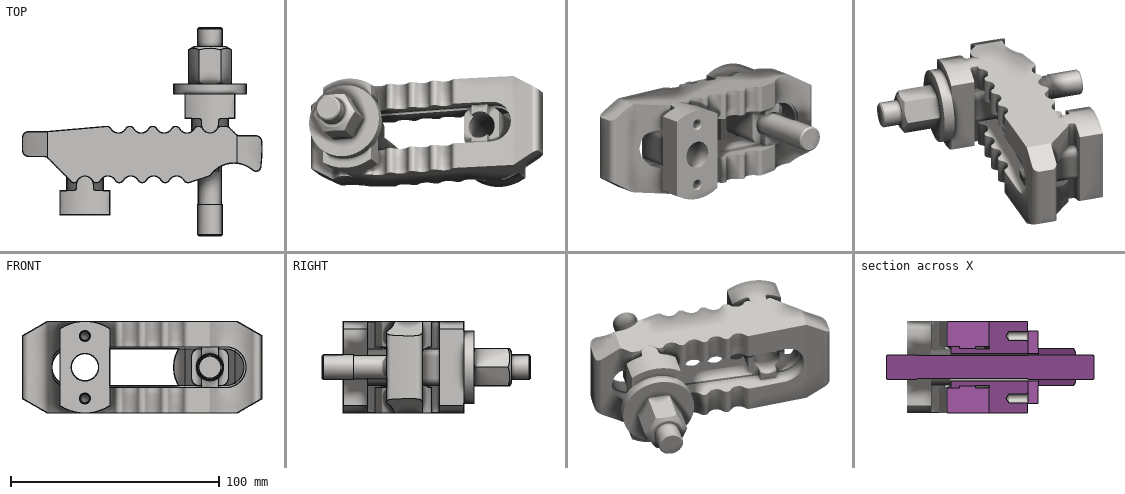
import cadquery as cq
import math


TOOTH_PITCH = 11.0
GROOVE_RADIUS = 4.0
GROOVE_DEPTH = 3.2
GROOVES_PER_SIDE = 5
CREST_RADIUS = 2.2
ARC_RADII_SUM = GROOVE_RADIUS + CREST_RADIUS
ARC_CENTRE_RISE = ARC_RADII_SUM - GROOVE_DEPTH
ARC_CENTRE_DISTANCE = math.hypot(TOOTH_PITCH / 2, ARC_CENTRE_RISE)
FLANK_ANGLE = math.degrees(
    math.atan2(TOOTH_PITCH / 2, ARC_CENTRE_RISE) - math.acos(ARC_RADII_SUM / ARC_CENTRE_DISTANCE)
)

ARM_HEIGHT = 44.0
ARM_LEFT = -90.0
ARM_RIGHT = 25.0
ARM_TOP = 8.5
ARM_BOTTOM = -18.6
ARM_MIDDLE = (ARM_TOP + ARM_BOTTOM) / 2

STUD_X = 0.0
LOWER_SUPPORT_X = -60.0
TOP_LAST_GROOVE = STUD_X
TOP_FIRST_GROOVE = TOP_LAST_GROOVE - (GROOVES_PER_SIDE - 1) * TOOTH_PITCH
BOTTOM_FIRST_GROOVE = LOWER_SUPPORT_X
BOTTOM_LAST_GROOVE = BOTTOM_FIRST_GROOVE + (GROOVES_PER_SIDE - 1) * TOOTH_PITCH

NOSE_THICKNESS = 12.0
NOSE_FILLET = 3.0
END_CHAMFER_LENGTH = 12.0
END_CHAMFER_ANGLE = 30.0
BACK_SLOPE_ANGLE = 5.0
RAMP_ANGLE = 45.0
RAMP_FOOT_X = -65.9
RAMP_FOOT_FILLET = 0.9

SHOULDER_CORNER_X = 8.6
SHOULDER_FILLET = 2.3
HEEL_TOP = 4.0
HEEL_ROOT_FILLET = 3.0
HEEL_TOP_FILLET = 3.0
HEEL_TIP_FILLET = 2.3
HEEL_FACE_RADIUS = 65.0
HEEL_FACE_MIDDLE = -2.5
HEEL_TIP_SHARP_Y = -15.0

HOLLOW_RADIUS = 14.0
HOLLOW_X = 11.5
HOLLOW_TOP = -9.2
HOLLOW_START_X = 0.0
HOLLOW_START_FILLET = 1.5
UNDERSIDE_SLOPE_ANGLE = 18.0

SLOT_CENTRE_TRAVEL = 74.5
SLOT_MIDDLE_X = -29.75
SLOT_WIDTH = 17.6
WIDE_SLOT_WIDTH = 19.6
RIDGE_THICKNESS = 8.0

PLATE_DIAMETER = ARM_HEIGHT
PLATE_WIDTH = 24.0
PLATE_THICKNESS = 11.6
TONGUE_LENGTH = GROOVE_RADIUS + 3.0
TONGUE_FILLET = 1.5
BOSS_SIZE = SLOT_WIDTH
BOSS_FILLET = 3.5
BOSS_LENGTH = TONGUE_LENGTH + (ARM_TOP - GROOVE_DEPTH) - (ARM_MIDDLE - RIDGE_THICKNESS / 2)
LUG_WIDTH = 8.0
LUG_LENGTH = 4.0
SUPPORT_BORE = 13.0
TAP_DRILL = 4.2
TAP_COUNTERSINK = 5.2
TAP_DEPTH = 9.0
TAP_OFFSET = 15.0
DRILL_POINT_ANGLE = 118.0

STUD_DIAMETER = 12.0
STUD_SHANK_DIAMETER = 11.3
STUD_LENGTH = 100.0
STUD_CHAMFER = 0.7
LOWER_THREAD_LENGTH = 15.0
STUD_PROTRUSION = 9.0
NUT_ACROSS_FLATS = 18.0
NUT_HEIGHT = 18.0
NUT_CHAMFER_ANGLE = 30.0
NUT_TOP_RADIUS = 7.4
NUT_SEAT_RADIUS = 9.6
WASHER_DIAMETER = 35.0
WASHER_THICKNESS = 5.0
WASHER_BORE = 13.0

UPPER_SEAT_Y = ARM_TOP - GROOVE_DEPTH
LOWER_SEAT_Y = ARM_BOTTOM + GROOVE_DEPTH
SUPPORT_HEIGHT = TONGUE_LENGTH + PLATE_THICKNESS
WASHER_Y = UPPER_SEAT_Y + SUPPORT_HEIGHT
NUT_Y = WASHER_Y + WASHER_THICKNESS
STUD_TOP_Y = NUT_Y + NUT_HEIGHT + STUD_PROTRUSION


def y_plane(y, x=0.0):
    """Plane facing +Y at the given place; its local x is X and its local y is -Z."""
    return cq.Plane(origin=(x, y, 0), xDir=(1, 0, 0), normal=(0, 1, 0))


def cylinder(diameter, y_from, y_to):
    return cq.Workplane(y_plane(y_from)).circle(diameter / 2).extrude(y_to - y_from)


def crest_point(crest_x, crest_y, outward, angle):
    """Point on a crest arc, at an angle from its summit that is positive toward +X."""
    turn = math.radians(angle)
    x = crest_x + CREST_RADIUS * math.sin(turn)
    y = crest_y - outward * CREST_RADIUS * (1 - math.cos(turn))
    return x, y


def groove_point(groove_x, crest_y, outward, angle):
    """Point on a groove arc, at an angle from its bottom that is positive toward +X."""
    turn = math.radians(angle)
    x = groove_x + GROOVE_RADIUS * math.sin(turn)
    y = crest_y - outward * (GROOVE_DEPTH - GROOVE_RADIUS * (1 - math.cos(turn)))
    return x, y


def add_teeth(path, first_groove, crest_y, outward, heading, start_angle):
    """Run the grooves and crests along one side, up to the summit of the crest after the last groove.

    The path stands on the crest before the first groove, at start_angle from its summit.
    """
    flank = heading * FLANK_ANGLE
    crest_x = first_groove - heading * TOOTH_PITCH / 2
    crest_start = start_angle
    for tooth in range(GROOVES_PER_SIDE):
        groove_x = first_groove + tooth * heading * TOOTH_PITCH
        crest_middle = crest_point(crest_x, crest_y, outward, (crest_start + flank) / 2)
        path = path.threePointArc(crest_middle, crest_point(crest_x, crest_y, outward, flank))
        path = path.lineTo(*groove_point(groove_x, crest_y, outward, -flank))
        groove_bottom = groove_point(groove_x, crest_y, outward, 0)
        path = path.threePointArc(groove_bottom, groove_point(groove_x, crest_y, outward, flank))
        crest_x = groove_x + heading * TOOTH_PITCH / 2
        crest_start = -flank
        path = path.lineTo(*crest_point(crest_x, crest_y, outward, crest_start))
    crest_middle = crest_point(crest_x, crest_y, outward, crest_start / 2)
    return path.threePointArc(crest_middle, (crest_x, crest_y))


def hollow_y(x):
    centre_y = HOLLOW_TOP - HOLLOW_RADIUS
    return centre_y + math.sqrt(HOLLOW_RADIUS**2 - (x - HOLLOW_X) ** 2)


def hollow_end():
    """Point where the hollow runs out tangentially into the straight underside of the tip."""
    tip_dx = heel_face_x(HEEL_TIP_SHARP_Y) - HOLLOW_X
    tip_dy = HEEL_TIP_SHARP_Y - (HOLLOW_TOP - HOLLOW_RADIUS)
    tip_distance = math.hypot(tip_dx, tip_dy)
    angle = math.atan2(tip_dy, tip_dx) + math.acos(HOLLOW_RADIUS / tip_distance)
    x = HOLLOW_X + HOLLOW_RADIUS * math.cos(angle)
    return x, hollow_y(x)


def heel_face_x(y):
    centre_x = ARM_RIGHT - HEEL_FACE_RADIUS
    return centre_x + math.sqrt(HEEL_FACE_RADIUS**2 - (y - HEEL_FACE_MIDDLE) ** 2)


def make_arm():
    nose = NOSE_THICKNESS / 2
    back_start = crest_point(TOP_FIRST_GROOVE - TOOTH_PITCH / 2, ARM_TOP, 1, -BACK_SLOPE_ANGLE)
    shoulder_foot_x = SHOULDER_CORNER_X + ARM_TOP - HEEL_TOP
    heel_corner = (heel_face_x(HEEL_TOP), HEEL_TOP)
    heel_tip = (heel_face_x(HEEL_TIP_SHARP_Y), HEEL_TIP_SHARP_Y)
    hollow_start = (HOLLOW_START_X, hollow_y(HOLLOW_START_X))
    underside_start = crest_point(
        BOTTOM_LAST_GROOVE + TOOTH_PITCH / 2, ARM_BOTTOM, -1, UNDERSIDE_SLOPE_ANGLE
    )
    ramp_top_x = RAMP_FOOT_X - (-nose - ARM_BOTTOM) / math.tan(math.radians(RAMP_ANGLE))

    path = cq.Workplane("XY").moveTo(ARM_LEFT, nose)
    path = path.lineTo(ARM_LEFT + END_CHAMFER_LENGTH, nose).lineTo(*back_start)
    path = add_teeth(path, TOP_FIRST_GROOVE, ARM_TOP, 1, 1, -BACK_SLOPE_ANGLE)
    path = path.lineTo(SHOULDER_CORNER_X, ARM_TOP).lineTo(shoulder_foot_x, HEEL_TOP)
    path = path.lineTo(*heel_corner).threePointArc((ARM_RIGHT, HEEL_FACE_MIDDLE), heel_tip)
    path = path.lineTo(*hollow_end()).threePointArc((HOLLOW_X, HOLLOW_TOP), hollow_start)
    path = path.lineTo(*underside_start)
    path = add_teeth(path, BOTTOM_LAST_GROOVE, ARM_BOTTOM, -1, -1, UNDERSIDE_SLOPE_ANGLE)
    path = path.lineTo(RAMP_FOOT_X, ARM_BOTTOM).lineTo(ramp_top_x, -nose).lineTo(ARM_LEFT, -nose).close()
    arm = path.extrude(ARM_HEIGHT / 2, both=True)

    rounded_corners = [
        (ARM_LEFT, nose, NOSE_FILLET),
        (ARM_LEFT, -nose, NOSE_FILLET),
        (ramp_top_x, -nose, NOSE_FILLET),
        (RAMP_FOOT_X, ARM_BOTTOM, RAMP_FOOT_FILLET),
        (SHOULDER_CORNER_X, ARM_TOP, SHOULDER_FILLET),
        (shoulder_foot_x, HEEL_TOP, HEEL_ROOT_FILLET),
        (*heel_corner, HEEL_TOP_FILLET),
        (*heel_tip, HEEL_TIP_FILLET),
        (*hollow_start, HOLLOW_START_FILLET),
    ]
    for x, y, radius in rounded_corners:
        arm = arm.edges(cq.selectors.NearestToPointSelector((x, y, 0))).fillet(radius)

    return arm.intersect(arm_side_outline()).cut(arm_slot())


def arm_side_outline():
    """Block whose four long corners are bevelled, seen along Y."""
    length = ARM_RIGHT - ARM_LEFT
    bevel = END_CHAMFER_LENGTH * math.tan(math.radians(END_CHAMFER_ANGLE))
    half_height = ARM_HEIGHT / 2
    corner = (length / 2 - END_CHAMFER_LENGTH, half_height)
    end = (length / 2, half_height - bevel)
    outline = [
        corner,
        end,
        (end[0], -end[1]),
        (corner[0], -corner[1]),
        (-corner[0], -corner[1]),
        (-end[0], -end[1]),
        (-end[0], end[1]),
        (-corner[0], corner[1]),
    ]
    depth = 2 * (ARM_TOP - ARM_BOTTOM)
    plane = y_plane(ARM_MIDDLE - depth / 2, (ARM_LEFT + ARM_RIGHT) / 2)
    return cq.Workplane(plane).polyline(outline).close().extrude(depth)


def slot_prism(width, y_from, y_to):
    sketch = cq.Workplane(y_plane(y_from, SLOT_MIDDLE_X))
    return sketch.slot2D(SLOT_CENTRE_TRAVEL + width, width).extrude(y_to - y_from)


def arm_slot():
    """Through slot, widened above and below so that a ridge is left at mid thickness."""
    ridge_low = ARM_MIDDLE - RIDGE_THICKNESS / 2
    ridge_high = ARM_MIDDLE + RIDGE_THICKNESS / 2
    slot = slot_prism(SLOT_WIDTH, ARM_BOTTOM, ARM_TOP)
    slot = slot.union(slot_prism(WIDE_SLOT_WIDTH, ARM_BOTTOM, ridge_low))
    return slot.union(slot_prism(WIDE_SLOT_WIDTH, ridge_high, ARM_TOP))


def make_support():
    """Support with its tongue tip at Y = 0 and its plate toward +Y."""
    half_tongue = GROOVE_RADIUS
    half_plate = PLATE_WIDTH / 2
    fillet_x = half_tongue + TONGUE_FILLET
    fillet_y = TONGUE_LENGTH - TONGUE_FILLET
    body = (
        cq.Workplane("XY")
        .moveTo(-half_plate, SUPPORT_HEIGHT)
        .lineTo(half_plate, SUPPORT_HEIGHT)
        .lineTo(half_plate, TONGUE_LENGTH)
        .lineTo(fillet_x, TONGUE_LENGTH)
        .radiusArc((half_tongue, fillet_y), -TONGUE_FILLET)
        .lineTo(half_tongue, GROOVE_RADIUS)
        .threePointArc((0, 0), (-half_tongue, GROOVE_RADIUS))
        .lineTo(-half_tongue, fillet_y)
        .radiusArc((-fillet_x, TONGUE_LENGTH), -TONGUE_FILLET)
        .lineTo(-half_plate, TONGUE_LENGTH)
        .close()
        .extrude(PLATE_DIAMETER / 2, both=True)
    )
    body = body.intersect(cylinder(PLATE_DIAMETER, 0, SUPPORT_HEIGHT))

    boss_end = TONGUE_LENGTH - BOSS_LENGTH
    boss = cq.Workplane(y_plane(boss_end)).rect(BOSS_SIZE, BOSS_SIZE).extrude(BOSS_LENGTH)
    boss = boss.edges("|Y").fillet(BOSS_FILLET)
    lugs = cq.Workplane(y_plane(boss_end)).rect(LUG_WIDTH, WIDE_SLOT_WIDTH).extrude(-LUG_LENGTH)
    body = body.union(boss).union(lugs)

    body = body.cut(cylinder(SUPPORT_BORE, boss_end - LUG_LENGTH, SUPPORT_HEIGHT))
    for side in (-1, 1):
        body = body.cut(tapped_hole().translate((0, SUPPORT_HEIGHT, side * TAP_OFFSET)))
    return body


def tapped_hole():
    """Countersunk blind hole with a drill point, entering from Y = 0 toward -Y."""
    radius = TAP_DRILL / 2
    mouth = TAP_COUNTERSINK / 2
    point = radius / math.tan(math.radians(DRILL_POINT_ANGLE / 2))
    outline = [
        (0, 0),
        (mouth, 0),
        (radius, radius - mouth),
        (radius, -TAP_DEPTH),
        (0, -TAP_DEPTH - point),
    ]
    return cq.Workplane("XY").polyline(outline).close().revolve(360, (0, 0), (0, 1))


def make_stud():
    bottom = STUD_TOP_Y - STUD_LENGTH
    stud = cylinder(STUD_SHANK_DIAMETER, bottom, STUD_TOP_Y)
    stud = stud.union(cylinder(STUD_DIAMETER, bottom, bottom + LOWER_THREAD_LENGTH))
    stud = stud.union(cylinder(STUD_DIAMETER, WASHER_Y, STUD_TOP_Y))
    return stud.faces("<Y or >Y").chamfer(STUD_CHAMFER)


def make_nut():
    """Hexagon nut with two of its corners on the X axis, bevelled at both ends."""
    corner_radius = NUT_ACROSS_FLATS / math.sqrt(3)
    slope = math.tan(math.radians(NUT_CHAMFER_ANGLE))
    top = NUT_Y + NUT_HEIGHT
    envelope = [
        (0, NUT_Y),
        (NUT_SEAT_RADIUS, NUT_Y),
        (corner_radius, NUT_Y + (corner_radius - NUT_SEAT_RADIUS) * slope),
        (corner_radius, top - (corner_radius - NUT_TOP_RADIUS) * slope),
        (NUT_TOP_RADIUS, top),
        (0, top),
    ]
    nut = cq.Workplane(y_plane(NUT_Y)).polygon(6, 2 * corner_radius).extrude(NUT_HEIGHT)
    bevels = cq.Workplane("XY").polyline(envelope).close().revolve(360, (0, 0), (0, 1))
    return nut.intersect(bevels).cut(cylinder(STUD_DIAMETER, NUT_Y, top))


def make_washer():
    washer = cylinder(WASHER_DIAMETER, WASHER_Y, NUT_Y)
    return washer.cut(cylinder(WASHER_BORE, WASHER_Y, NUT_Y))


arm = make_arm()
stud = make_stud()
nut = make_nut()
washer = make_washer()

supports = []
for x, seat_y, turn in ((STUD_X, UPPER_SEAT_Y, 0), (LOWER_SUPPORT_X, LOWER_SEAT_Y, 180)):
    placed = make_support().rotate((0, 0, 0), (0, 0, 1), turn).translate((x, seat_y, 0))
    supports.append(placed)

result = cq.Compound.makeCompound(
    [arm.val(), stud.val(), nut.val(), washer.val(), *[support.val() for support in supports]]
)